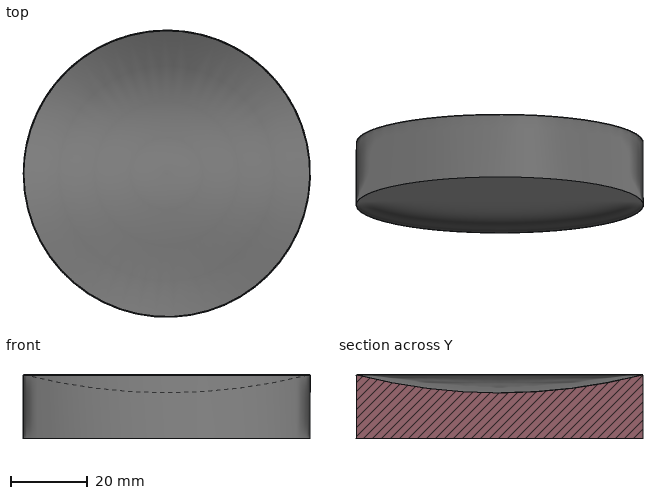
import cadquery as cq
import math

diameter = 75.0
centre_thickness = 12.0
dish_sphere_radius = 150.0
edge_chamfer = 0.2

radius = diameter / 2


def dish_height(distance):
    """Height of the concave top at a given distance from the disc axis."""
    rise = dish_sphere_radius - math.sqrt(dish_sphere_radius**2 - distance**2)
    return centre_thickness + rise


half_section = (
    cq.Workplane("XZ")
    .moveTo(0, 0)
    .lineTo(-radius, 0)
    .lineTo(-radius, dish_height(radius))
    .threePointArc((-radius / 2, dish_height(radius / 2)), (0, centre_thickness))
    .close()
)
blank = half_section.revolve(360, (0, 0), (0, 1))

result = blank.edges("%CIRCLE").edges(">Z").chamfer(edge_chamfer)